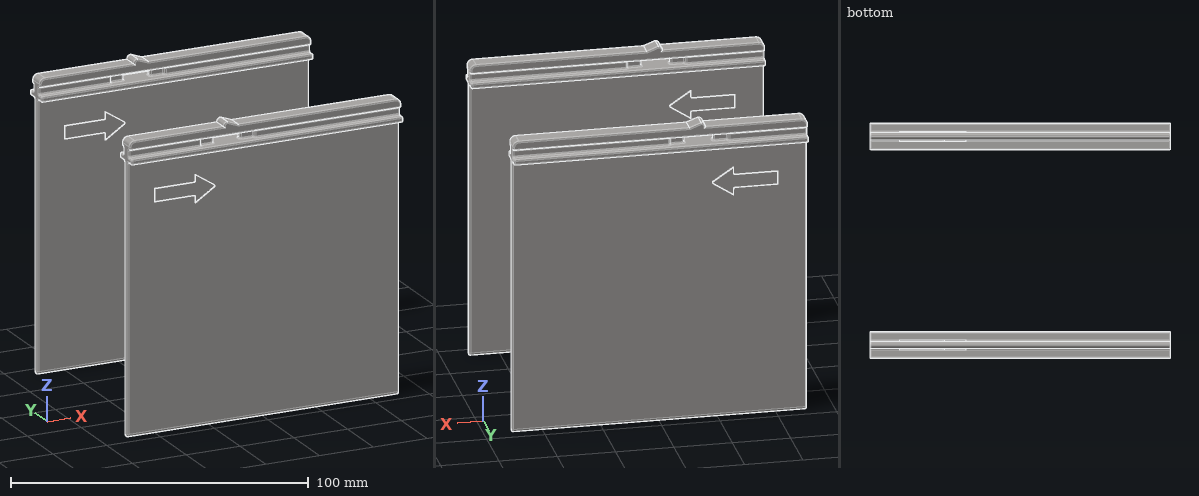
import cadquery as cq

length = 101.0
bar_top = 106.0
plate_spacing = 70.0
edge_radius = 0.49

head_width = 6.0
head_bottom = 102.75
head_end_radius = 2.0
neck_width = 4.0
flange_width = 9.0
flange_top = 100.0
flange_bottom = 98.0
sheet_thickness = 2.5
sheet_bottom_radius = 1.2

tooth_start = 35.0
tooth_end = 40.5
tooth_height = 1.5
tooth_radius = 1.5

window_center = 37.0
window_length = 10.0
recess_length = 20.0
recess_depth = 1.0
neck_height = head_bottom - flange_top

arrow_start = 10.0
arrow_neck = 25.1
arrow_tip = 32.7
arrow_center_height = 85.0
arrow_head_width = 10.0
arrow_shaft_width = 4.7
arrow_relief = 0.4
arrow_radius = 0.5


def rail_body():
    """Sharp-edged cross-section extruded along X, with the stop tooth added on top."""
    half_section = [
        (head_width / 2, bar_top),
        (head_width / 2, head_bottom),
        (neck_width / 2, head_bottom),
        (neck_width / 2, flange_top),
        (flange_width / 2, flange_top),
        (flange_width / 2, flange_bottom),
        (sheet_thickness / 2, flange_bottom),
        (sheet_thickness / 2, 0),
    ]
    mirrored_half = [(-y, z) for y, z in reversed(half_section)]
    body = cq.Workplane("YZ").polyline(half_section + mirrored_half).close().extrude(length)
    body = body.edges("|Y and >Z").fillet(head_end_radius)
    return body.union(stop_tooth())


def stop_tooth():
    """Wedge with an upright, rounded leading face and a ramp down to the head."""
    tooth_top = bar_top + tooth_height
    return (
        cq.Workplane("XZ")
        .moveTo(tooth_start, head_bottom)
        .lineTo(tooth_start, tooth_top - tooth_radius)
        .radiusArc((tooth_start + tooth_radius, tooth_top), tooth_radius)
        .lineTo(tooth_end, bar_top)
        .lineTo(tooth_end, head_bottom)
        .close()
        .extrude(head_width / 2, both=True)
    )


def neck_slab(slab_length, slab_thickness):
    """Block as tall as the neck, centred on the window."""
    return (
        cq.Workplane("XY")
        .workplane(offset=flange_top)
        .center(window_center, 0)
        .rect(slab_length, slab_thickness)
        .extrude(neck_height)
    )


def window_cutter():
    """Through window, with a longer recess cut into both faces of the neck around it."""
    web_thickness = neck_width - 2 * recess_depth
    recesses = neck_slab(recess_length, neck_width).cut(neck_slab(recess_length, web_thickness))
    return neck_slab(window_length, neck_width).union(recesses)


def soften_edges(body):
    """Round every edge except the straight ones that cross the top of the head."""
    head_end_start = bar_top - head_end_radius

    def is_softened(edge):
        crosses_bar = edge.BoundingBox().ylen > head_width / 2
        return not (crosses_bar and edge.Center().z > head_end_start - edge_radius)

    body = body.faces("<Z").edges("|X").fillet(sheet_bottom_radius)
    return body.edges().filter(is_softened).fillet(edge_radius)


def arrow():
    """Direction arrow through the sheet, standing proud by the same relief on both faces."""
    half_shaft = arrow_shaft_width / 2
    half_head = arrow_head_width / 2
    half_outline = [
        (arrow_start, half_shaft),
        (arrow_neck, half_shaft),
        (arrow_neck, half_head),
    ]
    mirrored_half = [(x, -z) for x, z in reversed(half_outline)]
    solid = (
        cq.Workplane("XZ", origin=(0, 0, arrow_center_height))
        .polyline(half_outline + [(arrow_tip, 0)] + mirrored_half)
        .close()
        .extrude(sheet_thickness / 2 + arrow_relief, both=True)
    )

    def is_rounded(edge):
        center = edge.Center()
        is_tip = abs(center.x - arrow_tip) < arrow_radius
        is_inner_corner = (
            abs(center.x - arrow_neck) < arrow_radius
            and abs(center.z - arrow_center_height) < half_head - arrow_radius
        )
        return is_tip or is_inner_corner

    return solid.edges("|Y").filter(is_rounded).fillet(arrow_radius)


def divider_plate(y_position):
    """One complete plate, centred on the given Y position."""
    body = soften_edges(rail_body().cut(window_cutter()))
    return body.union(arrow()).translate((0, y_position, 0))


divider_plates = [divider_plate(side * plate_spacing / 2) for side in (-1, 1)]

result = cq.Compound.makeCompound([plate.val() for plate in divider_plates])